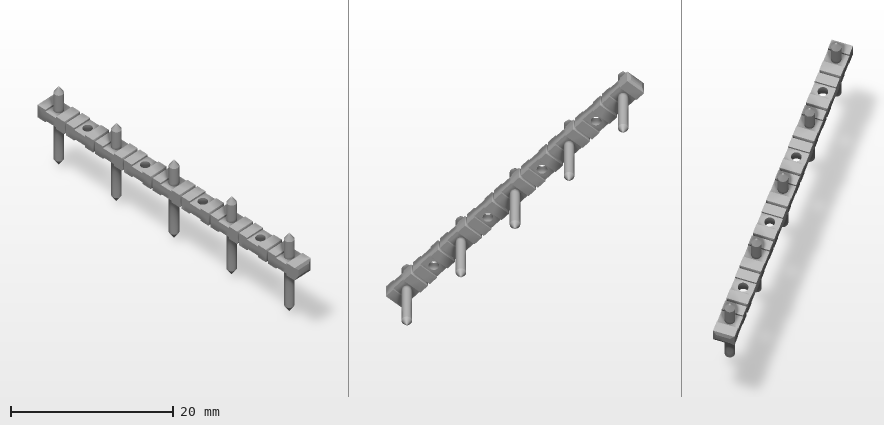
import cadquery as cq

strip_length = 45.0
block_count = 9
pitch = strip_length / block_count
block_width = 2.8
block_height = 2.0

taper_length = 0.2
end_face_inset = 0.5
end_face_width = block_width - 2 * end_face_inset
end_face_height = block_height - 2 * end_face_inset
body_length = pitch - 2 * taper_length

groove_length = 1.9
groove_depth = 0.25

pin_diameter = 1.3
hole_diameter = pin_diameter
pin_tip_length = 1.0
pin_above_block = 3.5
pin_below_block = 7.0

pin_top = block_height / 2 + pin_above_block
pin_bottom = -block_height / 2 - pin_below_block


def tapered_end(direction):
    """Pyramid-shaped end of a block; direction is +1 or -1 along X."""
    end_plane = cq.Plane(
        origin=(direction * body_length / 2, 0, 0),
        xDir=(0, 1, 0),
        normal=(direction, 0, 0),
    )
    return (
        cq.Workplane(end_plane)
        .rect(block_width, block_height)
        .workplane(offset=taper_length)
        .rect(end_face_width, end_face_height)
        .loft(ruled=True)
    )


def make_block():
    """One block centred on the origin, grooved on its top and bottom."""
    block = cq.Workplane("XY").box(body_length, block_width, block_height)
    for direction in (-1, 1):
        block = block.union(tapered_end(direction))
        groove_centre = direction * (block_height - groove_depth) / 2
        groove = (
            cq.Workplane("XY")
            .box(groove_length, block_width, groove_depth)
            .translate((0, 0, groove_centre))
        )
        block = block.cut(groove)
    return block


def make_pin():
    """Vertical pin with a sharp conical tip at both ends."""
    radius = pin_diameter / 2
    return (
        cq.Workplane("XZ")
        .moveTo(0, pin_bottom)
        .lineTo(radius, pin_bottom + pin_tip_length)
        .lineTo(radius, pin_top - pin_tip_length)
        .lineTo(0, pin_top)
        .close()
        .revolve(360, (0, 0, 0), (0, 1, 0))
    )


def make_hole():
    """Cylinder that passes right through a block."""
    return cq.Workplane("XY").circle(hole_diameter / 2).extrude(block_height / 2, both=True)


pinned_block = make_block().union(make_pin())
holed_block = make_block().cut(make_hole())

result = cq.Workplane("XY")
for index in range(block_count):
    block = pinned_block if index % 2 == 0 else holed_block
    block_x = (index - (block_count - 1) / 2) * pitch
    result = result.union(block.translate((block_x, 0, 0)))